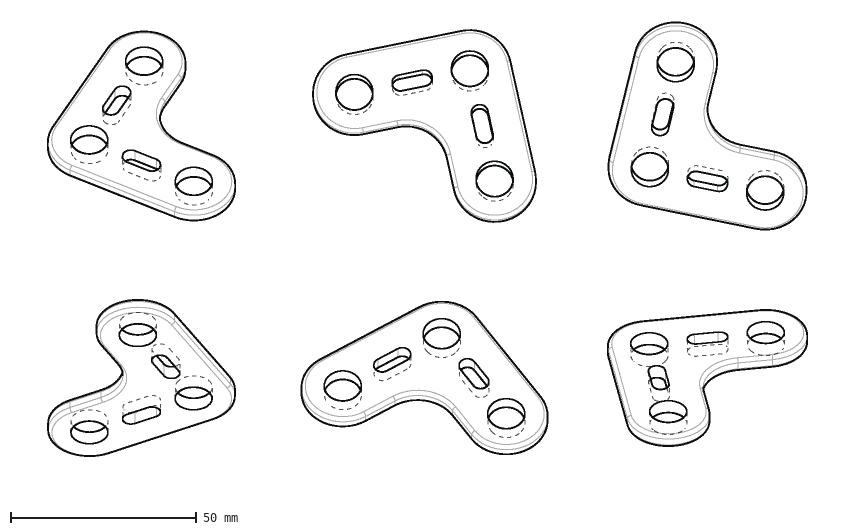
import cadquery as cq
import math

overall_width = 67.4
end_radius = 11.2
thickness = 4.0
edge_round = 1.0
hole_diameter = 10.0
slot_length = 11.0
slot_width = 4.5
inner_corner_radius = end_radius

arm_angle = 45
arm_offset = overall_width / 2 - end_radius
arm_length = arm_offset * math.sqrt(2)
hole_centers = [(0, 0), (-arm_offset, arm_offset), (arm_offset, arm_offset)]
arm_directions = (arm_angle, 180 - arm_angle)


def make_arm(direction):
    """Round-ended bar running from the corner hole to an end hole."""
    return (
        cq.Workplane("XY")
        .center(arm_length / 2, 0)
        .slot2D(arm_length + 2 * end_radius, 2 * end_radius)
        .extrude(thickness)
        .rotate((0, 0, 0), (0, 0, 1), direction)
    )


def make_slot(direction):
    """Cutter for the slot halfway along an arm."""
    return (
        cq.Workplane("XY")
        .center(arm_length / 2, 0)
        .slot2D(slot_length, slot_width)
        .extrude(thickness)
        .rotate((0, 0, 0), (0, 0, 1), direction)
    )


right_arm, left_arm = [make_arm(direction) for direction in arm_directions]
plate = right_arm.union(left_arm).clean()
inner_corner = (0, end_radius * math.sqrt(2), thickness / 2)
plate = plate.edges(cq.selectors.NearestToPointSelector(inner_corner)).fillet(inner_corner_radius)

plate = plate.faces("<Z or >Z").edges().fillet(edge_round)

holes = cq.Workplane("XY").pushPoints(hole_centers).circle(hole_diameter / 2).extrude(thickness)
result = plate.cut(holes)

for direction in arm_directions:
    result = result.cut(make_slot(direction))